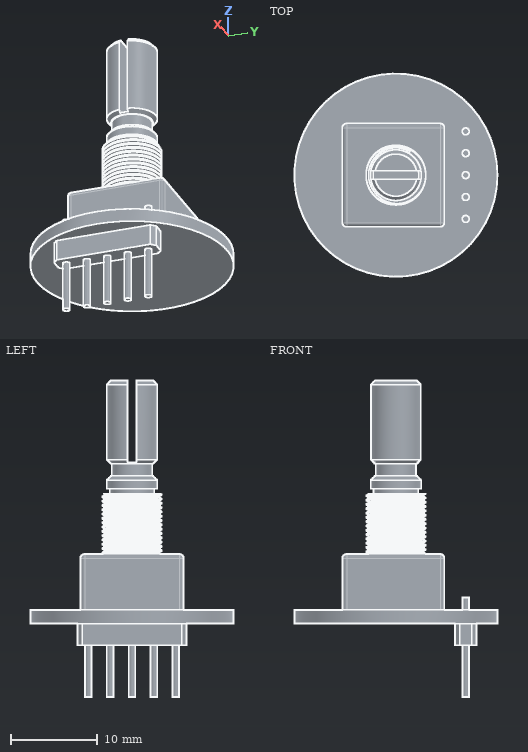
import cadquery as cq
import math


overall_height = 36.75

board_diameter = 23.6
board_thickness = 1.6

case_length_x = 11.85
case_length_y = 12.0
case_height = 6.5
case_center_x = -0.3
case_edge_radius = 0.5
case_top = board_thickness + case_height

thread_major_diameter = 6.93
thread_minor_diameter = 6.35
thread_pitch = 0.5
thread_angle = 60
thread_crest_width = thread_pitch / 8
thread_root_overlap = 0.03
bushing_height = 7.0
bushing_top = case_top + bushing_height

shaft_diameter = 5.9
shaft_stem_diameter = 5.22
shaft_groove_diameter = 4.72
shaft_chamfer = 0.5
shaft_top = 28.25
collar_gap = 0.55
collar_bottom = bushing_top + collar_gap
collar_height = 1.0
groove_length = 1.4
slot_width = 1.0
slot_length = 9.5

pin_count = 5
pin_pitch = 2.54
pin_diameter = 0.8
pin_row_x = 8.1
pin_protrusion = 1.45
pin_top = board_thickness + pin_protrusion
pin_bottom = shaft_top - overall_height
header_width = pin_pitch
header_length = pin_count * pin_pitch
header_height = 2.5
header_corner_chamfer = 0.55

pin_places = [(pin_row_x, (i - (pin_count - 1) / 2) * pin_pitch) for i in range(pin_count)]


def make_board():
    return cq.Workplane("XY").circle(board_diameter / 2).extrude(board_thickness)


def make_case():
    return (
        cq.Workplane("XY", origin=(case_center_x, 0, board_thickness))
        .rect(case_length_x, case_length_y)
        .extrude(case_height)
        .edges("|Z or >Z")
        .fillet(case_edge_radius)
    )


def make_thread_ridge():
    """Right-handed helical ridge, trimmed flush with both ends of the bushing."""
    crest_radius = thread_major_diameter / 2
    buried_radius = thread_minor_diameter / 2 - thread_root_overlap
    flank_widening = (crest_radius - buried_radius) * math.tan(math.radians(thread_angle / 2))
    crest_half_width = thread_crest_width / 2
    root_half_width = crest_half_width + flank_widening

    start_z = case_top - thread_pitch
    helix_height = bushing_height + 2 * thread_pitch
    helix = cq.Wire.makeHelix(thread_pitch, helix_height, buried_radius, cq.Vector(0, 0, start_z))
    ridge = (
        cq.Workplane("XZ", origin=(0, 0, start_z))
        .moveTo(buried_radius, -root_half_width)
        .lineTo(crest_radius, -crest_half_width)
        .lineTo(crest_radius, crest_half_width)
        .lineTo(buried_radius, root_half_width)
        .close()
        .sweep(cq.Workplane(helix), isFrenet=True)
    )
    trim = (
        cq.Workplane("XY", origin=(0, 0, case_top))
        .circle(thread_major_diameter)
        .extrude(bushing_height)
    )
    return ridge.intersect(trim)


def make_bushing():
    core = (
        cq.Workplane("XY", origin=(0, 0, case_top))
        .circle(thread_minor_diameter / 2)
        .extrude(bushing_height)
    )
    return core.union(make_thread_ridge())


def make_shaft():
    """Turned shaft with a collar and a retaining groove, slotted across its tip along X."""
    shaft_radius = shaft_diameter / 2
    stem_radius = shaft_stem_diameter / 2
    groove_radius = shaft_groove_diameter / 2
    collar_top = collar_bottom + collar_height
    groove_bottom = collar_top + shaft_chamfer
    groove_top = groove_bottom + groove_length
    chamfered_radius = shaft_radius - shaft_chamfer
    profile = [
        (0, bushing_top),
        (stem_radius, bushing_top),
        (stem_radius, collar_bottom),
        (shaft_radius, collar_bottom),
        (shaft_radius, collar_top),
        (chamfered_radius, groove_bottom),
        (groove_radius, groove_bottom),
        (groove_radius, groove_top),
        (chamfered_radius, groove_top),
        (shaft_radius, groove_top + shaft_chamfer),
        (shaft_radius, shaft_top - shaft_chamfer),
        (chamfered_radius, shaft_top),
        (0, shaft_top),
    ]
    slot = (
        cq.Workplane("XY", origin=(0, 0, shaft_top - slot_length))
        .rect(2 * shaft_diameter, slot_width)
        .extrude(slot_length)
    )
    return cq.Workplane("XZ").polyline(profile).close().revolve(360, (0, 0), (0, 1)).cut(slot)


def make_header_block():
    return (
        cq.Workplane("XY", origin=(pin_row_x, 0, -header_height))
        .rect(header_width, header_length)
        .extrude(header_height)
        .edges("|Z")
        .chamfer(header_corner_chamfer)
    )


def make_pin(x, y):
    """One contact pin running straight through the header block and the board."""
    return (
        cq.Workplane("XY", origin=(x, y, pin_bottom))
        .circle(pin_diameter / 2)
        .extrude(pin_top - pin_bottom)
    )


pins = [make_pin(x, y) for x, y in pin_places]
encoder = make_board()
for encoder_part in (make_header_block(), make_case(), make_bushing(), make_shaft()):
    encoder = encoder.union(encoder_part)
for pin in pins:
    encoder = encoder.cut(pin)

result = cq.Compound.makeCompound([encoder.val(), *[pin.val() for pin in pins]])